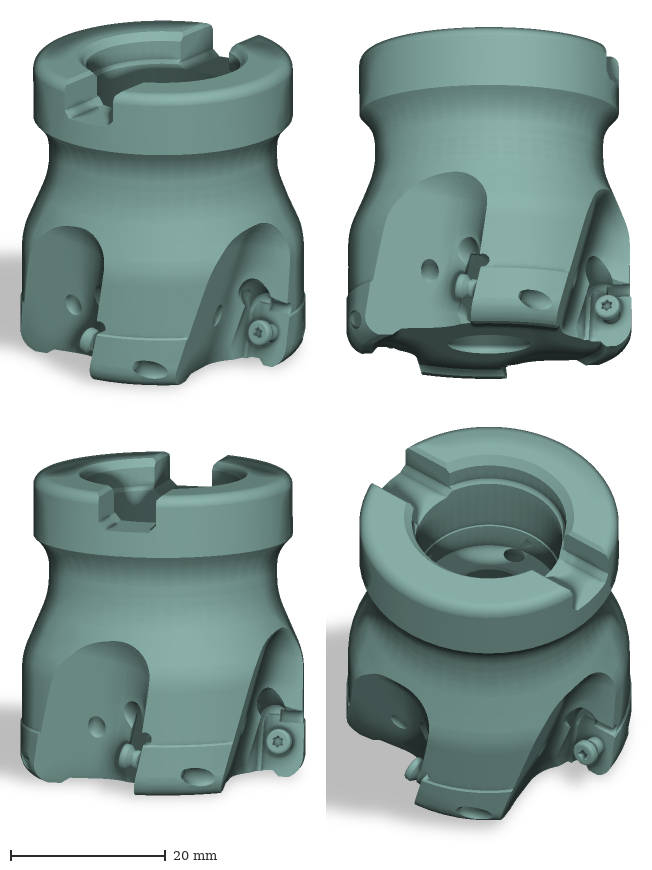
import cadquery as cq
import math

FLUTES = 4
FLUTE_STEP = 360.0 / FLUTES
HEIGHT = 39.23

flange_radius = 16.77
flange_bottom = 31.25
flange_rim_fillet = 1.5
flange_bevel = 0.5
neck_radius = 14.75
neck_top = 27.2
neck_bottom = 25.65
neck_lower_arc = 10.0
shoulder_arc = 8.0
cone_angle = math.radians(23)
barrel_radius = 18.2
collar_radius = 18.435
collar_top = 6.9
collar_bevel = 0.25
nose_height = 2.7
nose_arc = 2.9

mouth_radius = 11.0
relief_radius = 10.0
relief_bottom = 35.8
pilot_radius = 9.5
pilot_bottom = 27.6
lower_bore_radius = 9.25
bore_floor = 24.0
bolt_hole_radius = 5.3
bolt_hole_chamfer = 0.35
recess_depth = 0.75
recess_radius = 14.5

slot_width = 7.75
slot_depth = 4.7
slot_root_chamfer = 0.9
slot_mouth_chamfer = 0.47

pocket_lean = math.tan(math.radians(11.5))
pocket_inward_slope = 0.2586
pocket_floor_skew = 0.129
pocket_floor_radius = 9.8
pocket_round = 5.4
pocket_wall_angle = math.radians(88)
pocket_round_start = -5.7
pocket_end = 22.5
pocket_reach = 30.0
pocket_depth = 12.0

seat_angle = math.radians(13)
seat_foot = 1.13
seat_edge_radius = 13.8
seat_corner_round = 0.7
seat_step_place = 1.0
seat_floor_radius = 12.5
seat_slope_place = 2.3
seat_slope_radius = 12.1
seat_run_off_radius = 11.8
seat_roof_angle = math.radians(55)
seat_roof_height = 9.5
seat_width = 3.2
top_relief_radius = 0.85
top_relief_height = 7.9
top_relief_start = 14.9
ball_radius = 1.8
ball_place = (0.0, -14.2, 10.0)
ball_run_end = (2.5, -14.2, 7.6)
seat_bottom = -4.0

screw_reach = 15.7
screw_height = 4.4
shank_radius = 1.22
shank_top = 1.25
neck_groove_radius = 1.05
neck_groove_width = 0.25
head_radius = 1.65
head_rim_bottom = 2.1
head_top = 3.05
head_round = 0.4
screw_tip = -5.4
tip_chamfer = 0.3
socket_radius = 0.85
socket_lobe_depth = 0.25
socket_depth = 0.8
socket_lobes = 6

coolant_radius = 1.15
coolant_inlet = cq.Vector(1.8, -7.9, bore_floor)
coolant_outlet = cq.Vector(12.5, -5.2, 7.9)
coolant_overrun = 3.0


def around_axis(shape):
    """One copy of a workplane per flute, turned about the holder axis."""
    return [shape.rotate((0, 0, 0), (0, 0, 1), i * FLUTE_STEP) for i in range(FLUTES)]


def turned_blank():
    """Outside of the holder with its nose, collar, barrel, neck and flange."""
    nose_inset = nose_arc - math.sqrt(nose_arc**2 - nose_height**2)
    half_turn = math.asin(nose_height / nose_arc) / 2
    nose_mid = (
        collar_radius - nose_arc * (1 - math.cos(half_turn)),
        nose_height - nose_arc * math.sin(half_turn),
    )

    sine = math.sin(cone_angle)
    drop = 1 - math.cos(cone_angle)
    half_sine = math.sin(cone_angle / 2)
    half_drop = 1 - math.cos(cone_angle / 2)
    cone_top = (neck_radius + neck_lower_arc * drop, neck_bottom - neck_lower_arc * sine)
    cone_bottom_radius = barrel_radius - shoulder_arc * drop
    cone_length = (cone_bottom_radius - cone_top[0]) / math.tan(cone_angle)
    cone_bottom = (cone_bottom_radius, cone_top[1] - cone_length)
    barrel_top = cone_bottom[1] - shoulder_arc * sine

    shoulder_mid = (barrel_radius - shoulder_arc * half_drop, barrel_top + shoulder_arc * half_sine)
    neck_mid = (neck_radius + neck_lower_arc * half_drop, neck_bottom - neck_lower_arc * half_sine)
    bevel_end = (flange_radius - flange_bevel, flange_bottom - flange_bevel)

    outline = (
        cq.Workplane("XZ")
        .moveTo(0, 0)
        .lineTo(collar_radius - nose_inset, 0)
        .threePointArc(nose_mid, (collar_radius, nose_height))
        .lineTo(collar_radius, collar_top - collar_bevel)
        .lineTo(barrel_radius, collar_top)
        .lineTo(barrel_radius, barrel_top)
        .threePointArc(shoulder_mid, cone_bottom)
        .lineTo(*cone_top)
        .threePointArc(neck_mid, (neck_radius, neck_bottom))
        .lineTo(neck_radius, neck_top)
        .tangentArcPoint(bevel_end, relative=False)
        .lineTo(flange_radius, flange_bottom)
        .lineTo(flange_radius, HEIGHT)
        .lineTo(0, HEIGHT)
        .close()
    )
    blank = outline.revolve(360, (0, 0, 0), (0, 1, 0))
    return blank.faces(">Z").edges().fillet(flange_rim_fillet)


def bore():
    """Stepped bore, bolt hole and bottom recess as one turned cutter."""
    mouth_chamfer = mouth_radius - relief_radius
    pilot_chamfer = relief_radius - pilot_radius
    bolt_mouth = bolt_hole_radius + bolt_hole_chamfer
    points = [
        (0, HEIGHT),
        (mouth_radius, HEIGHT),
        (relief_radius, HEIGHT - mouth_chamfer),
        (relief_radius, relief_bottom),
        (pilot_radius, relief_bottom - pilot_chamfer),
        (pilot_radius, pilot_bottom),
        (lower_bore_radius, pilot_bottom),
        (lower_bore_radius, bore_floor),
        (bolt_mouth, bore_floor),
        (bolt_hole_radius, bore_floor - bolt_hole_chamfer),
        (bolt_hole_radius, recess_depth),
        (recess_radius, recess_depth),
        (recess_radius + recess_depth, 0),
        (0, 0),
    ]
    return cq.Workplane("XZ").polyline(points).close().revolve(360, (0, 0, 0), (0, 1, 0))


def drive_slot():
    """Slot across the top along Y, with chamfered roots and mouth edges."""
    half = slot_width / 2
    root = HEIGHT - slot_depth
    right_side = [
        (half - slot_root_chamfer, root),
        (half, root + slot_root_chamfer),
        (half, HEIGHT - slot_mouth_chamfer),
        (half + slot_mouth_chamfer, HEIGHT),
    ]
    left_side = [(-x, z) for x, z in reversed(right_side)]
    outline = cq.Workplane("XZ").polyline(right_side + left_side).close()
    return outline.extrude(2 * flange_radius, both=True)


def chip_pocket():
    """Leaning pocket on the -Y side: floor, wall and end joined by rounds."""
    floor_normal = cq.Vector(pocket_floor_skew, -1, -pocket_inward_slope).normalized()
    upward = cq.Vector(pocket_lean, -pocket_inward_slope + pocket_floor_skew * pocket_lean, 1)
    upward = (upward - floor_normal * upward.dot(floor_normal)).normalized()
    toward_wall = floor_normal.cross(upward) * -1
    base = cq.Plane(
        origin=(0, -pocket_floor_radius, 0),
        xDir=toward_wall.toTuple(),
        normal=upward.toTuple(),
    )
    corner = pocket_round_start + pocket_round * math.tan(pocket_wall_angle / 2)
    wall_top = corner + pocket_depth / math.tan(pocket_wall_angle)
    section = [
        (corner, 0),
        (wall_top, -pocket_depth),
        (-pocket_reach, -pocket_depth),
        (-pocket_reach, 0),
    ]
    pocket = (
        cq.Workplane(base)
        .workplane(offset=-pocket_reach)
        .polyline(section)
        .close()
        .extrude(pocket_reach + pocket_end)
    )
    edge_middles = [
        (corner, 0, (pocket_end - pocket_reach) / 2),
        ((corner - pocket_reach) / 2, 0, pocket_end),
        ((corner + wall_top) / 2, -pocket_depth / 2, pocket_end),
    ]
    rounded_edges = []
    for middle in edge_middles:
        nearest = cq.selectors.NearestToPointSelector(base.toWorldCoords(middle).toTuple())
        rounded_edges.append(pocket.edges(nearest).val())
    return cq.Workplane(pocket.val().fillet(pocket_round, rounded_edges))


seat_plane = cq.Plane(
    origin=(seat_foot, 0, 0),
    xDir=(0, -1, 0),
    normal=(-math.cos(seat_angle), 0, math.sin(seat_angle)),
)
screw_foot = seat_plane.toWorldCoords((screw_reach, screw_height, 0))


def insert_seat():
    """Flat seat face with a sloping roof, and a stepped floor that rounds up into the face."""
    outside = collar_radius + 2
    side_plane = cq.Plane(
        origin=seat_plane.origin.toTuple(),
        xDir=seat_plane.zDir.toTuple(),
        normal=(seat_plane.xDir * -1).toTuple(),
    )
    roof_foot = (
        top_relief_radius * math.cos(seat_roof_angle),
        top_relief_height + top_relief_radius * math.sin(seat_roof_angle),
    )
    roof_depth = roof_foot[0] + (seat_roof_height - roof_foot[1]) * math.tan(seat_roof_angle)
    side_outline = [
        (0, seat_bottom),
        (0, top_relief_height),
        roof_foot,
        (roof_depth, seat_roof_height),
        (seat_width, seat_roof_height),
        (seat_width, seat_bottom),
    ]
    side = cq.Workplane(side_plane).polyline(side_outline).close().extrude(-outside)

    plan_plane = cq.Plane(
        origin=seat_plane.toWorldCoords((0, seat_bottom, 0)).toTuple(),
        xDir=seat_plane.xDir.toTuple(),
        normal=seat_plane.yDir.toTuple(),
    )
    step_radius = seat_edge_radius - seat_corner_round
    diagonal = seat_corner_round * math.sqrt(0.5)
    plan = (
        cq.Workplane(plan_plane)
        .moveTo(outside, 0)
        .lineTo(seat_edge_radius, 0)
        .threePointArc(
            (seat_edge_radius - diagonal, -seat_corner_round + diagonal),
            (step_radius, -seat_corner_round),
        )
        .lineTo(step_radius, -seat_step_place)
        .lineTo(seat_floor_radius, -seat_step_place)
        .lineTo(seat_slope_radius, -seat_slope_place)
        .lineTo(seat_run_off_radius, -seat_width)
        .lineTo(outside, -seat_width)
        .close()
        .extrude(seat_roof_height - seat_bottom)
    )
    return side.intersect(plan)


def seat_corner_relief():
    """Round groove along the top of the seat face."""
    start = seat_plane.toWorldCoords((top_relief_start, top_relief_height, 0))
    length = collar_radius + 1 - top_relief_start
    return cq.Workplane(cq.Solid.makeCylinder(top_relief_radius, length, start, seat_plane.xDir))


def seat_run_out():
    """Ball-ended channel that slopes from the pocket into the seat corner."""
    center = cq.Vector(*ball_place)
    run = cq.Vector(*ball_run_end) - center
    channel = cq.Workplane(cq.Solid.makeCylinder(ball_radius, run.Length, center, run))
    return channel.union(cq.Workplane("XY").sphere(ball_radius).translate(ball_place))


def coolant_hole():
    """Slanting hole from the bore floor to the floor of a chip pocket."""
    run = coolant_outlet - coolant_inlet
    start = coolant_inlet - run.normalized() * coolant_overrun
    length = run.Length + 2 * coolant_overrun
    return cq.Workplane(cq.Solid.makeCylinder(coolant_radius, length, start, run))


def screw_hole():
    """Hole square to the seat face that runs out through the collar."""
    into_seat = seat_plane.zDir * -1
    return cq.Workplane(cq.Solid.makeCylinder(shank_radius, collar_radius, screw_foot, into_seat))


def clamping_screw():
    """Headed screw square to the seat face, with a star socket."""
    neck_groove_top = shank_top + neck_groove_width
    points = [
        (0, screw_tip),
        (shank_radius - tip_chamfer, screw_tip),
        (shank_radius, screw_tip + tip_chamfer),
        (shank_radius, shank_top),
        (neck_groove_radius, shank_top),
        (neck_groove_radius, neck_groove_top),
        (head_radius, head_rim_bottom),
        (head_radius, head_top),
        (0, head_top),
    ]
    axis_plane = cq.Plane(
        origin=screw_foot.toTuple(),
        xDir=seat_plane.xDir.toTuple(),
        normal=(seat_plane.yDir * -1).toTuple(),
    )
    screw = cq.Workplane(axis_plane).polyline(points).close().revolve(360, (0, 0, 0), (0, 1, 0))

    head_center = seat_plane.toWorldCoords((screw_reach, screw_height, head_top)).toTuple()
    head_plane = cq.Plane(
        origin=head_center,
        xDir=seat_plane.yDir.toTuple(),
        normal=seat_plane.zDir.toTuple(),
    )
    head_face = cq.selectors.NearestToPointSelector(head_center)
    screw = screw.faces(head_face).edges().fillet(head_round)

    star = []
    for i in range(2 * socket_lobes):
        radius = socket_radius - (i % 2) * socket_lobe_depth
        angle = math.pi * i / socket_lobes
        star.append((radius * math.cos(angle), radius * math.sin(angle)))
    socket = cq.Workplane(head_plane).polyline(star).close().extrude(-socket_depth)
    return screw.cut(socket)


holder = turned_blank().cut(bore()).cut(drive_slot())
flute_cutters = [
    chip_pocket(),
    insert_seat(),
    seat_corner_relief(),
    seat_run_out(),
    coolant_hole(),
    screw_hole(),
]
for cutter in flute_cutters:
    for copy in around_axis(cutter):
        holder = holder.cut(copy)

screws = around_axis(clamping_screw())

result = cq.Compound.makeCompound([holder.val(), *[screw.val() for screw in screws]])